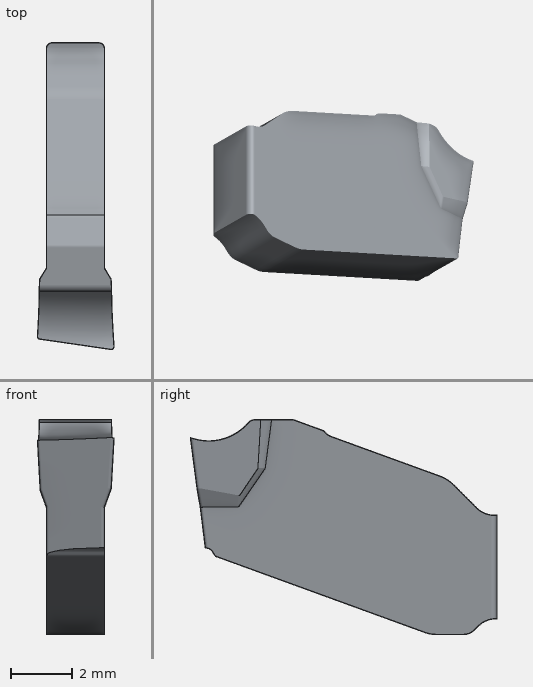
import math

import cadquery as cq


total_length = 10.0
total_height = 7.0
body_width = 1.9
head_width = 2.5
half_body = body_width / 2
half_head = head_width / 2
head_stock_width = 2 * head_width
stock_size = 30.0
stock_front_y = -1.5

seat_angle = 20.0
shoulder_angle = 45.0
knee_angle = (seat_angle + shoulder_angle) / 2

step_angle = 50.0
top_land_rear_y = 3.358
step_front_y = 4.347
step_rear_y = 4.467
convex_radius = 0.2
step_hollow_radius = 0.5
knee_upper_y = 8.25
knee_lower_y = 8.49
knee_radius = 0.95

rear_top_z = 3.89
rear_bottom_z = 0.51
rear_hollow_radius = 0.8
rear_edge_radius = 0.2

heel_corner_y = 9.11
heel_radius = 0.5
seat_heel_radius = 1.0

rake_angle = 50.0
rake_radius = 1.71
rake_low_y = 0.6
rake_low_z = 6.31
rake_lip_radius = 0.27

relief_angle = 60.0
relief_seat_y = 0.809
relief_seat_z = 2.553
relief_top_z = 2.83
relief_edge_radius = 0.15
relief_hollow_radius = 0.3

front_lead_angle = 8.0
front_clearance_angle = 7.0
tip_z = 6.416
front_edge_radius = 0.1
tip_rounding_loss = 0.0125

cheek_split_z = 5.41
cheek_bottom_z = 4.15
cheek_back_angle = 3.3
cheek_taper = 2.75
flare_start_y = 2.65
flare_split_y = 2.44
flare_end_y = 1.57
flare_run = 1.65
cheek_bottom_angle = 20.0
cheek_edge_radius = 0.15
tip_overshoot = 0.019


def tan(degrees):
    return math.tan(math.radians(degrees))


def cos(degrees):
    return math.cos(math.radians(degrees))


def rounded_outline(corners):
    """Closed YZ outline from (y, z, radius) corners, each rounded by a tangent arc."""
    pieces = []
    for index, (y, z, radius) in enumerate(corners):
        corner = cq.Vector(y, z, 0)
        before = cq.Vector(*corners[index - 1][:2], 0)
        after = cq.Vector(*corners[(index + 1) % len(corners)][:2], 0)
        if radius == 0:
            pieces.append([corner])
            continue
        back = (before - corner).normalized()
        ahead = (after - corner).normalized()
        half_angle = back.getAngle(ahead) / 2
        setback = radius / math.tan(half_angle)
        bisector = (back + ahead).normalized()
        middle = corner + bisector * (radius / math.sin(half_angle) - radius)
        pieces.append([corner + back * setback, middle, corner + ahead * setback])

    outline = cq.Workplane("YZ").moveTo(*pieces[0][-1].toTuple()[:2])
    for piece in pieces[1:] + pieces[:1]:
        outline = outline.lineTo(*piece[0].toTuple()[:2])
        if len(piece) > 1:
            outline = outline.threePointArc(piece[1].toTuple()[:2], piece[2].toTuple()[:2])
    return outline.close()


def side_profile(width):
    """The insert's side outline, extruded to a width centred on the mid-plane."""
    seat_slope = tan(seat_angle)
    rake_corner_z = rake_low_z + rake_radius - rake_radius / cos(rake_angle)
    rake_lip_y = rake_low_y + (total_height - rake_corner_z) / tan(rake_angle)
    rake_front_z = rake_corner_z + (rake_low_y - stock_front_y) * tan(rake_angle)

    step_front_z = total_height - (step_front_y - top_land_rear_y) * seat_slope
    step_rear_z = step_front_z - (step_rear_y - step_front_y) * tan(step_angle)
    knee_upper_z = step_rear_z - (knee_upper_y - step_rear_y) * seat_slope
    knee_lower_z = knee_upper_z - (knee_lower_y - knee_upper_y) * tan(knee_angle)
    rear_hollow_y = knee_lower_y + (knee_lower_z - rear_top_z) / tan(shoulder_angle)

    heel_hollow_y = heel_corner_y + rear_bottom_z / tan(shoulder_angle)
    relief_hollow_y = relief_seat_y - (relief_top_z - relief_seat_z) / tan(relief_angle)
    seat_heel_y = relief_seat_y + relief_seat_z / seat_slope

    corners = [
        (stock_front_y, rake_front_z, 0),
        (rake_low_y, rake_corner_z, rake_radius),
        (rake_lip_y, total_height, rake_lip_radius),
        (top_land_rear_y, total_height, convex_radius),
        (step_front_y, step_front_z, convex_radius),
        (step_rear_y, step_rear_z, step_hollow_radius),
        (knee_upper_y, knee_upper_z, knee_radius),
        (knee_lower_y, knee_lower_z, knee_radius),
        (rear_hollow_y, rear_top_z, rear_hollow_radius),
        (total_length, rear_top_z, 0),
        (total_length, rear_bottom_z, 0),
        (heel_hollow_y, rear_bottom_z, rear_hollow_radius),
        (heel_corner_y, 0, heel_radius),
        (seat_heel_y, 0, seat_heel_radius),
        (relief_seat_y, relief_seat_z, relief_edge_radius),
        (relief_hollow_y, relief_top_z, relief_hollow_radius),
        (stock_front_y, relief_top_z, 0),
    ]
    return rounded_outline(corners).extrude(width / 2, both=True)


def half_space(point, normal):
    """Large block filling the side of a plane that its normal points away from."""
    plane = cq.Plane(origin=point, normal=normal)
    return cq.Workplane(plane).rect(stock_size, stock_size).extrude(-stock_size)


def flare_normal(lower_y, lower_z, upper_y, upper_z):
    """Normal of a flare that passes through a sloped line on the body's side."""
    edge_slope = (upper_y - lower_y) / (upper_z - lower_z)
    return cq.Vector(flare_run, 1, -edge_slope)


def tapered_stock(profile):
    """Half of the head at +X, closing in toward the rear and toward the bottom."""
    cheek_normal = cq.Vector(1, tan(cheek_back_angle), -tan(cheek_taper))
    stock = profile.intersect(half_space((0, 0, 0), cq.Vector(-1, 0, 0)))
    return stock.intersect(half_space((half_head + tip_overshoot, 0, tip_z), cheek_normal))


def upper_cheek(stock):
    """Part of the +X cheek above the split, starting from the steep flare behind it."""
    normal = flare_normal(flare_split_y, cheek_split_z, flare_start_y, total_height)
    cheek = stock.intersect(half_space((0, 0, cheek_split_z), cq.Vector(0, 0, -1)))
    return cheek.intersect(half_space((half_body, flare_split_y, cheek_split_z), normal))


def lower_cheek(stock):
    """Part of the +X cheek below the split, with a rounded edge where flare and bottom meet."""
    normal = flare_normal(flare_end_y, cheek_bottom_z, flare_split_y, cheek_split_z)
    bottom_normal = cq.Vector(1, 0, -tan(cheek_bottom_angle))
    cheek = stock.intersect(half_space((0, 0, cheek_split_z), cq.Vector(0, 0, 1)))
    cheek = cheek.intersect(half_space((half_body, flare_end_y, cheek_bottom_z), normal))
    cheek = cheek.intersect(half_space((half_body, 0, cheek_bottom_z), bottom_normal))
    shared_edge = cq.selectors.ParallelDirSelector(normal.cross(bottom_normal))
    return cheek.edges(shared_edge).fillet(cheek_edge_radius)


def head_cheeks(profile):
    """Both flared cheeks of the head, cut from the wide side profile."""
    stock = tapered_stock(profile)
    right_cheek = upper_cheek(stock).union(lower_cheek(stock))
    return right_cheek.union(right_cheek.mirror("YZ"))


def front_cut(blank):
    """Trim the head to its skewed front face, which leans back toward the bottom."""
    normal = cq.Vector(-tan(front_lead_angle), -1, -tan(front_clearance_angle))
    return blank.intersect(half_space((half_head, -tip_rounding_loss, tip_z), normal))


def rounded_front_edges(insert):
    """Round the steep side edges of the front face, leaving its cutting edge sharp."""
    front_face = insert.faces(cq.selectors.NearestToPointSelector((0, 0, cheek_split_z)))

    def is_steep(edge):
        box = edge.BoundingBox()
        return box.zlen > box.xlen

    return insert.newObject(front_face.edges().vals()).filter(is_steep).fillet(front_edge_radius)


body = side_profile(body_width)
body = body.edges("|Z and >Y").fillet(rear_edge_radius)
cheeks = head_cheeks(side_profile(head_stock_width))
result = rounded_front_edges(front_cut(body.union(cheeks)))